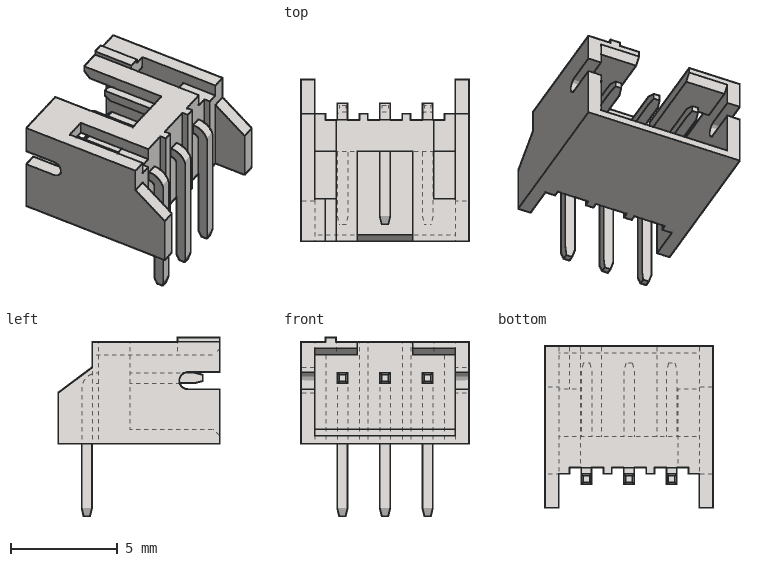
import cadquery as cq


width = 7.9
depth = 7.6
height = 4.8
core_depth = 5.7
wall_depth = 6.0
side_wall = 0.655
wing_rear_height = 2.4
wing_shoulder_height = 3.6

cavity_width = width - 2 * side_wall
cavity_depth = 4.24
floor_thickness = 0.7
roof_thickness = 0.61
mouth_chamfer = 0.32

notch_width = 2.6
channel_width = 1.0
channel_front = 2.0
slot_depth = 1.91
slot_bottom = 2.58
slot_height = 0.79

key_width = 0.5
key_length = channel_front
key_height = 0.2

pin_count = 3
pitch = 2.0
pin_size = 0.495
pin_tip_size = 0.3
pin_tip_length = 0.39
pin_axis_z = 3.1
pin_front = 0.8
pin_leg_y = 6.25
pin_length_below = 3.4
bend_inner_radius = 0.25

rib_width = 0.4
corner_rib_width = 0.5


def block(x_min, x_max, y_min, y_max, z_min, z_max):
    """Box given by its limits along the three axes."""
    return (
        cq.Workplane("XY")
        .box(x_max - x_min, y_max - y_min, z_max - z_min, centered=False)
        .translate((x_min, y_min, z_min))
    )


def side_profile(points, x_min, length):
    """Closed (Y, Z) outline extruded along +X from x_min."""
    return cq.Workplane("YZ").workplane(offset=x_min).polyline(points).close().extrude(length)


def make_shell():
    """Solid core with a wing on each side and ribs on the back wall."""
    shell = block(-width / 2, width / 2, 0, core_depth, 0, height)
    wing_outline = [
        (0, 0),
        (depth, 0),
        (depth, wing_rear_height),
        (wall_depth, wing_shoulder_height),
        (wall_depth, height),
        (0, height),
    ]
    for x_min in (-width / 2, width / 2 - side_wall):
        shell = shell.union(side_profile(wing_outline, x_min, side_wall))

    for index in range(pin_count - 1):
        x = (index - (pin_count - 2) / 2) * pitch
        shell = shell.union(
            block(x - rib_width / 2, x + rib_width / 2, cavity_depth, wall_depth, 0, height)
        )

    for x_min in (-cavity_width / 2, cavity_width / 2 - corner_rib_width):
        shell = shell.union(
            block(x_min, x_min + corner_rib_width, cavity_depth, wall_depth, 0, height)
        )
    return shell


def make_cavity():
    """Mating cavity, flared at the floor and roof of its mouth."""
    floor = floor_thickness
    roof = height - roof_thickness
    outline = [
        (0, floor - mouth_chamfer),
        (mouth_chamfer, floor),
        (cavity_depth, floor),
        (cavity_depth, roof),
        (mouth_chamfer, roof),
        (0, roof + mouth_chamfer),
    ]
    return side_profile(outline, -cavity_width / 2, cavity_width)


def make_roof_openings():
    """Centre notch into the cavity plus the rear-opening channel along each side wall."""
    underside = height - roof_thickness
    openings = block(-notch_width / 2, notch_width / 2, 0, cavity_depth, underside, height)
    for x_min in (-cavity_width / 2, cavity_width / 2 - channel_width):
        openings = openings.union(
            block(x_min, x_min + channel_width, channel_front, wall_depth, underside, height)
        )
    return openings


def make_side_slots():
    """Round-ended slot through both side walls, open at the mating face."""
    radius = slot_height / 2
    round_start = slot_depth - radius
    slot_top = slot_bottom + slot_height
    return (
        cq.Workplane("YZ")
        .workplane(offset=-width / 2)
        .moveTo(0, slot_bottom)
        .lineTo(round_start, slot_bottom)
        .threePointArc((slot_depth, slot_bottom + radius), (round_start, slot_top))
        .lineTo(0, slot_top)
        .close()
        .extrude(width)
    )


def make_key():
    """Polarity rib at the front of the roof, in line with the left channel."""
    x_max = -cavity_width / 2 + channel_width
    return block(x_max - key_width, x_max, 0, key_length, height, height + key_height)


def pin_tip(plane):
    """Tapered tip starting at the plane's origin and growing along its normal."""
    return (
        cq.Workplane(plane)
        .rect(pin_size, pin_size)
        .workplane(offset=pin_tip_length)
        .rect(pin_tip_size, pin_tip_size)
        .loft(ruled=True)
    )


def make_pin():
    """Right-angle square pin: contact along -Y, solder leg along -Z."""
    bend_radius = bend_inner_radius + pin_size / 2
    contact_start = pin_front + pin_tip_length
    leg_end = pin_tip_length - pin_length_below
    path = (
        cq.Workplane("YZ")
        .moveTo(contact_start, pin_axis_z)
        .lineTo(pin_leg_y - bend_radius, pin_axis_z)
        .radiusArc((pin_leg_y, pin_axis_z - bend_radius), bend_radius)
        .lineTo(pin_leg_y, leg_end)
    )
    contact_plane = cq.Plane((0, contact_start, pin_axis_z), (1, 0, 0), (0, -1, 0))
    leg_plane = cq.Plane((0, pin_leg_y, leg_end), (1, 0, 0), (0, 0, -1))
    bar = cq.Workplane(contact_plane).rect(pin_size, pin_size).sweep(path)
    return bar.union(pin_tip(contact_plane)).union(pin_tip(leg_plane))


result = make_shell().cut(make_cavity()).cut(make_roof_openings()).cut(make_side_slots())
result = result.union(make_key())

pin = make_pin()
for index in range(pin_count):
    pin_x = (index - (pin_count - 1) / 2) * pitch
    result = result.union(pin.translate((pin_x, 0, 0)))